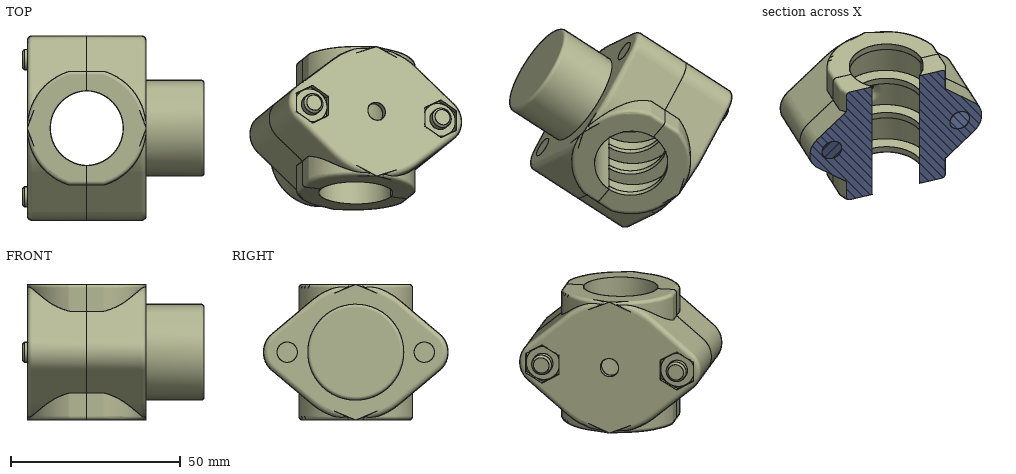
import cadquery as cq
import math

half_width = 17.5
half_height = 19.99
half_length = 27.2
end_radius = 7.0
flange_fillet = 1.5
boss_radius = half_width
boss_flat = 16.75
boss_corner_radius = 2.0
boss_fillet = 1.1
tip_reach = 6.25

bore_radius = 11.0
bore_shift = 0.25
relief_radius = 14.0
relief_shift = 0.65
rib_thickness = 2.0
chamber_count = 3
vent_radius = 2.745
vent_rounding = 1.5

spigot_radius = 14.15
spigot_end = 34.6
spigot_edge = 1.0

screw_spacing = half_length - end_radius
screw_radius = 3.0
screw_tip = 19.0
screw_chamfer = 0.65
nut_flats = 10.0
nut_thickness = 5.0
nut_recess = 1.25
nut_chamfer_angle = 30.0

screw_sides = (-1, 1)


def flange_outline():
    """Middle circle and two end circles joined by their common tangents."""
    tilt = math.asin((half_height - end_radius) / screw_spacing)
    end_y = screw_spacing + end_radius * math.sin(tilt)
    end_z = end_radius * math.cos(tilt)
    mid_y = half_height * math.sin(tilt)
    mid_z = half_height * math.cos(tilt)
    return (
        cq.Workplane("YZ")
        .moveTo(end_y, end_z)
        .lineTo(mid_y, mid_z)
        .threePointArc((0, half_height), (-mid_y, mid_z))
        .lineTo(-end_y, end_z)
        .threePointArc((-half_length, 0), (-end_y, -end_z))
        .lineTo(-mid_y, -mid_z)
        .threePointArc((0, -half_height), (mid_y, -mid_z))
        .lineTo(end_y, -end_z)
        .threePointArc((half_length, 0), (end_y, end_z))
        .close()
    )


def make_flange():
    flange = flange_outline().extrude(half_width, both=True)
    return flange.faces("<X or >X").edges().fillet(flange_fillet)


def make_boss():
    boss = cq.Workplane("XY").circle(boss_radius).extrude(half_height, both=True)
    between_flats = cq.Workplane("XY").box(2 * boss_radius, 2 * boss_flat, 2 * half_height)
    boss = boss.intersect(between_flats)
    boss = boss.edges("|Z").fillet(boss_corner_radius)
    return boss.faces("<Z or >Z").edges().fillet(boss_fillet)


def make_tip(z_side):
    """Pyramid that fills the corner where the outer face and the boss end meet in a point."""
    face_z = z_side * math.sqrt((half_height - flange_fillet) ** 2 - tip_reach**2)
    rim_x = -math.sqrt((boss_radius - boss_fillet) ** 2 - tip_reach**2)
    apex = (-half_width, 0, z_side * half_height)
    base = [
        (-half_width, -tip_reach, face_z),
        (-half_width, tip_reach, face_z),
        (rim_x, tip_reach, z_side * half_height),
        (rim_x, -tip_reach, z_side * half_height),
    ]
    outlines = [base]
    for start, end in zip(base, base[1:] + base[:1]):
        outlines.append([apex, start, end])
    faces = [cq.Face.makeFromWires(cq.Wire.makePolygon(points, close=True)) for points in outlines]
    return cq.Workplane(cq.Solid.makeSolid(cq.Shell.makeShell(faces)))


def along_x(radius, start, end, y=0):
    """Round bar parallel to X."""
    return cq.Workplane("YZ", origin=(start, y, 0)).circle(radius).extrude(end - start)


def make_half_blank():
    """Half of the body on the -X side, with its half bore and screw holes."""
    blank = make_flange().union(make_boss())
    for z_side in (-1, 1):
        blank = blank.union(make_tip(z_side))
    negative_x = cq.Workplane("XY").box(half_width, 2 * half_length, 2 * half_height)
    blank = blank.intersect(negative_x.translate((-half_width / 2, 0, 0)))
    bore = cq.Workplane("XY").center(bore_shift, 0).circle(bore_radius).extrude(half_height, both=True)
    blank = blank.cut(bore)
    for side in screw_sides:
        blank = blank.cut(along_x(screw_radius, -half_width, 0, side * screw_spacing))
    return blank


def hexagon(start, depth, y):
    """Hexagonal bar parallel to X with flats facing Y."""
    corner_diameter = nut_flats / math.cos(math.pi / 6)
    return (
        cq.Workplane("YZ", origin=(start, y, 0))
        .transformed(rotate=(0, 0, 90))
        .polygon(6, corner_diameter)
        .extrude(depth)
    )


def cut_chambers(half):
    """Equal chambers stacked along the bore with a rib between neighbours and a lip at each end."""
    pitch = (2 * half_height - rib_thickness) / chamber_count
    for index in range(chamber_count):
        floor_z = -half_height + rib_thickness + index * pitch
        chamber = cq.Workplane("XY", origin=(-relief_shift, 0, floor_z)).circle(relief_radius)
        half = half.cut(chamber.extrude(pitch - rib_thickness))
    return half


def cut_vent(half):
    """Round hole through the outer wall into the middle chamber, rounded on its inner edge."""
    half = half.cut(along_x(vent_radius, -half_width, 0))
    inner_edge = cq.selectors.BoxSelector(
        (-relief_shift - relief_radius, -vent_radius, -vent_radius),
        (-bore_radius, vent_radius, vent_radius),
    )
    return half.edges(inner_edge).fillet(vent_rounding)


def make_nut_half():
    half = cut_vent(cut_chambers(half_blank))
    for side in screw_sides:
        half = half.cut(hexagon(-half_width, nut_recess + nut_thickness, side * screw_spacing))
    return half


def make_spigot_half():
    spigot = along_x(spigot_radius, half_width, spigot_end).faces(">X").edges().fillet(spigot_edge)
    return half_blank.mirror("YZ").union(spigot)


def make_screw(side):
    screw = along_x(screw_radius, -screw_tip, half_width, side * screw_spacing)
    return screw.faces("<X").chamfer(screw_chamfer)


def make_nut(side):
    y = side * screw_spacing
    outer_face = -half_width + nut_recess
    nut = hexagon(outer_face, nut_thickness, y)
    cone_growth = nut_thickness / math.tan(math.radians(nut_chamfer_angle))
    cone = cq.Workplane(
        cq.Solid.makeCone(
            nut_flats / 2,
            nut_flats / 2 + cone_growth,
            nut_thickness,
            pnt=cq.Vector(outer_face, y, 0),
            dir=cq.Vector(1, 0, 0),
        )
    )
    nut = nut.intersect(cone)
    return nut.cut(along_x(screw_radius, outer_face, outer_face + nut_thickness, y))


half_blank = make_half_blank()
nut_half = make_nut_half()
spigot_half = make_spigot_half()
screws = [make_screw(side) for side in screw_sides]
nuts = [make_nut(side) for side in screw_sides]

result = cq.Compound.makeCompound(
    [nut_half.val(), spigot_half.val()]
    + [screw.val() for screw in screws]
    + [nut.val() for nut in nuts]
)